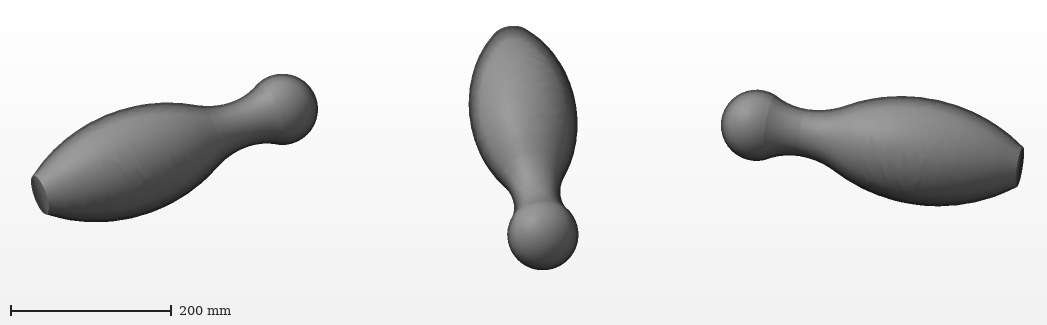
import cadquery as cq
import math

length = 380.0
base_radius = 25.5
belly_radius = 67.0
belly_y = 127.3
shoulder_radius = 39.5
shoulder_y = 233.0
waist_radius = 29.5
waist_y = 276.3
head_radius = 44.5
collar_y = 318.5

head_y = length - head_radius
collar_radius = math.sqrt(head_radius**2 - (head_y - collar_y) ** 2)

profile = (
    cq.Workplane("XY")
    .lineTo(base_radius, 0)
    .threePointArc((belly_radius, belly_y), (shoulder_radius, shoulder_y))
)


def neck_arc_middle(end_radius, end_y):
    """Midpoint of the arc from the waist, where it is parallel to the axis, to the given end."""
    rise = end_radius - waist_radius
    run = end_y - waist_y
    arc_radius = (rise**2 + run**2) / (2 * rise)
    half_angle = math.asin(run / arc_radius) / 2
    middle_radius = waist_radius + arc_radius * (1 - math.cos(half_angle))
    middle_y = waist_y + arc_radius * math.sin(half_angle)
    return (middle_radius, middle_y)


profile = (
    profile
    .threePointArc(neck_arc_middle(shoulder_radius, shoulder_y), (waist_radius, waist_y))
    .threePointArc(neck_arc_middle(collar_radius, collar_y), (collar_radius, collar_y))
    .threePointArc((head_radius, head_y), (0, length))
    .close()
)

result = profile.revolve(360, (0, 0, 0), (0, 1, 0))